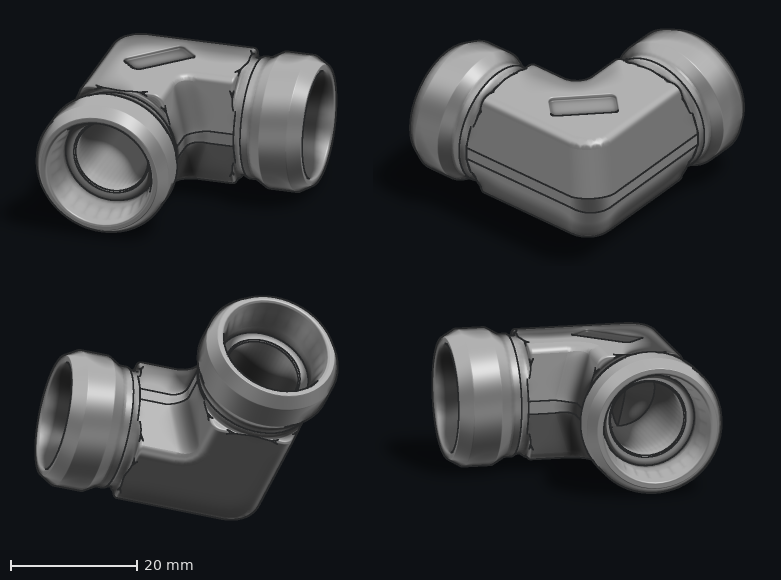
import cadquery as cq
import math


collar_radius = 11.0
port_end = 39 - collar_radius
cone_angle = math.radians(30)
neck_radius = 9.4
shoulder_radius = 19.6 / 2
groove_start = 16.7
groove_radius = 2.0
collar_start = 21.3
collar_length = 4.55
shoulder_round = 0.78
collar_round = 0.4
rim_round = 0.2

bore_radius = 12.0 / 2
seat_radius = 15.2 / 2
seat_depth = 7.0
mouth_radius = 8.75
mouth_angle = math.radians(12)
mouth_round = 0.5
bore_chamfer = 0.25
drill_point_slope = math.radians(20)

body_half_width = 9.5
body_half_height = 9.45
flat_half_height = 1.05
draft_angle = math.radians(20)
body_end = 15.95
top_round = 2.0
outer_bend_round = 5.0
inner_bend_round = 3.0
body_end_round = 0.5
root_round = 0.5
root_radius = 10.35

panel_length = 11.0
panel_width = 5.0
panel_corner_radius = 1.0
panel_depth = 0.62
panel_draft_degrees = 20
panel_round = 0.43
panel_offset = 2.22
panel_turn_degrees = 45

top_half_width = body_half_width - (body_half_height - flat_half_height) * math.tan(draft_angle)
base_half_width = body_half_width + (body_half_height + flat_half_height) * math.tan(draft_angle)
rounding_start = body_end - body_end_round
flat_band_height = 4 * flat_half_height
groove_rise = shoulder_radius - neck_radius
groove_end = groove_start + math.sqrt(groove_rise * (2 * groove_radius - groove_rise))
shoulder_end = collar_start - (collar_radius - shoulder_radius) / math.tan(cone_angle)
collar_end = collar_start + collar_length
rim_radius = collar_radius - (port_end - collar_end) * math.tan(cone_angle)
mouth_depth = (mouth_radius - seat_radius) / math.tan(mouth_angle)
drill_point_length = bore_radius * math.tan(drill_point_slope)

root_middle_angle = 225
tolerance = 0.0005


def arc_middle(centre, radius, angle_degrees):
    angle = math.radians(angle_degrees)
    return centre[0] + radius * math.cos(angle), centre[1] + radius * math.sin(angle)


def revolve_about_x(profile):
    return profile.close().revolve(360, (0, 0, 0), (1, 0, 0))


def on_both_ports(port_part):
    """Repeat a part of the +X port on the -Y port."""
    return port_part.union(port_part.rotate((0, 0, 0), (0, 0, 1), -90))


def circles_at(solid, axial, radius):
    """Circular edges round the X axis at one axial place and radius."""
    def matches(edge):
        start = edge.startPoint()
        same_place = abs(start.x - axial) < tolerance
        return same_place and abs(math.hypot(start.y, start.z) - radius) < tolerance

    return solid.newObject([edge for edge in solid.edges("%CIRCLE").vals() if matches(edge)])


def round_bend(elbow, side, radius):
    """Round the mitre edge on the outer (side = -1) or inner (side = 1) of the bend."""
    def matches(edge):
        ends = (edge.startPoint(), edge.endPoint())
        return all(abs(end.x + end.y) < tolerance and end.x * side > 0 for end in ends)

    return elbow.newObject([edge for edge in elbow.edges().vals() if matches(edge)]).fillet(radius)


def bent_bar(bottom_half_width, upper_half_width, reach):
    """Bar of trapezoidal section bent through a right angle, with a rounded bend."""
    section = [
        (-bottom_half_width, -body_half_height),
        (bottom_half_width, -body_half_height),
        (upper_half_width, body_half_height),
        (-upper_half_width, body_half_height),
    ]
    path = cq.Workplane("XY").moveTo(0, -reach).lineTo(0, 0).lineTo(reach, 0)
    start_plane = cq.Plane((0, -reach, 0), (1, 0, 0), (0, -1, 0))
    bar = cq.Workplane(start_plane).polyline(section).close().sweep(path, transition="right")
    bar = round_bend(bar, -1, outer_bend_round)
    return round_bend(bar, 1, inner_bend_round)


def forged_elbow(reach):
    """Eight-sided elbow: drafted flanks above and below narrow upright flats."""
    upright = bent_bar(body_half_width, body_half_width, reach)
    drafted = bent_bar(base_half_width, top_half_width, reach)
    drafted = drafted.faces(">Z").edges("not(>X or <Y)").fillet(top_round)
    return upright.intersect(drafted).intersect(drafted.mirror("XY"))


def body_root():
    """Round stub that carries the body corners down to a neck through a filleted root."""
    root_centre = (body_end + root_round, neck_radius + root_round)
    return revolve_about_x(
        cq.Workplane("XY")
        .moveTo(rounding_start, 0)
        .lineTo(rounding_start, root_radius)
        .lineTo(body_end, root_centre[1])
        .threePointArc(arc_middle(root_centre, root_round, root_middle_angle), (root_centre[0], neck_radius))
        .lineTo(groove_start, neck_radius)
        .lineTo(groove_start, 0)
    )


def body():
    """Forged elbow with rounded corner ends; only its upright flats run on to the grooves."""
    cornered = forged_elbow(body_end).faces(">X or <Y").edges().fillet(body_end_round)
    full = forged_elbow(groove_start)
    flats = full.intersect(cq.Workplane("XY").box(2 * port_end, 2 * port_end, flat_band_height))
    roots = full.intersect(on_both_ports(body_root()))
    return cornered.union(roots).union(flats)


def port_outside():
    groove_half_angle = math.degrees(math.acos(1 - groove_rise / groove_radius)) / 2
    groove_centre = (groove_start, neck_radius + groove_radius)
    port = revolve_about_x(
        cq.Workplane("XY")
        .moveTo(groove_start, 0)
        .lineTo(groove_start, neck_radius)
        .threePointArc(
            arc_middle(groove_centre, groove_radius, groove_half_angle - 90), (groove_end, shoulder_radius)
        )
        .lineTo(shoulder_end, shoulder_radius)
        .lineTo(collar_start, collar_radius)
        .lineTo(collar_end, collar_radius)
        .lineTo(port_end, rim_radius)
        .lineTo(port_end, 0)
    )
    port = circles_at(port, shoulder_end, shoulder_radius).fillet(shoulder_round)
    port = circles_at(port, collar_start, collar_radius).fillet(collar_round)
    port = circles_at(port, collar_end, collar_radius).fillet(collar_round)
    return circles_at(port, port_end, rim_radius).fillet(rim_round)


def port_bore():
    """Drilled bore with a flat tube seat and a conical mouth."""
    seat = port_end - seat_depth
    return revolve_about_x(
        cq.Workplane("XY")
        .moveTo(-drill_point_length, 0)
        .lineTo(0, bore_radius)
        .lineTo(seat - bore_chamfer, bore_radius)
        .lineTo(seat, bore_radius + bore_chamfer)
        .lineTo(seat, seat_radius)
        .lineTo(port_end - mouth_depth, seat_radius)
        .lineTo(port_end, mouth_radius)
        .lineTo(port_end, 0)
    )


def round_opening(fitting, face_selector):
    """Round the edge of the opening in the selected port face."""
    port_face = fitting.faces(face_selector).val()
    return fitting.newObject(port_face.innerWires()[0].Edges()).fillet(mouth_round)


def panel_recess():
    panel = cq.Sketch().rect(panel_length, panel_width).vertices().fillet(panel_corner_radius)
    recess = (
        cq.Workplane("XY", origin=(0, 0, body_half_height))
        .placeSketch(panel)
        .extrude(-panel_depth, taper=panel_draft_degrees)
    )
    recess = recess.faces("<Z").edges().fillet(panel_round)
    return recess.rotate((0, 0, 0), (0, 0, 1), panel_turn_degrees).translate((panel_offset, -panel_offset, 0))


def round_panel_rim(fitting):
    """Round the edge where the panel recess opens into the top face of the body."""
    panel_rim = fitting.faces("+Z").faces(cq.selectors.AreaNthSelector(-1)).val().innerWires()[0]
    return fitting.newObject(panel_rim.Edges()).fillet(panel_round)


result = body().union(on_both_ports(port_outside()))
result = result.cut(on_both_ports(port_bore()))
result = round_opening(result, ">X")
result = round_opening(result, "<Y")
result = result.cut(panel_recess())
result = round_panel_rim(result)